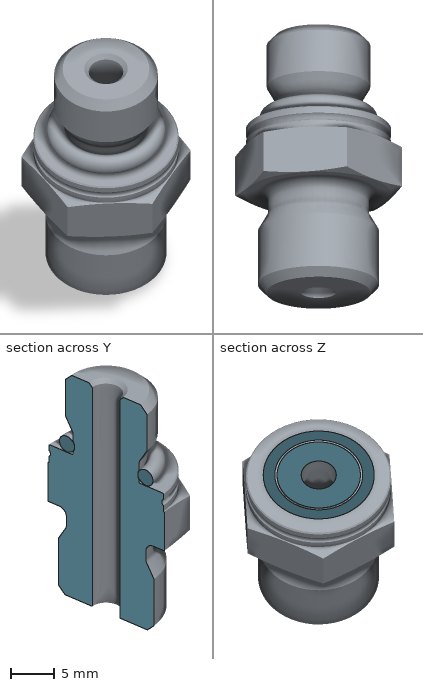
import cadquery as cq
import math

total_height = 31.0
hex_bottom = 12.0
hex_top = 17.48
collar_top = 20.03

hex_across_flats = 17.0
hex_corner_diameter = hex_across_flats / math.cos(math.radians(30))
hex_bevel_start_radius = 8.4
hex_bevel_angle = 15.0
bevel_clearance = 0.3

end_chamfer = 1.0
runout_angle = 30.0

lower_radius = 14.0 / 2
lower_neck_radius = 11.7 / 2
lower_thread_length = 7.47
lower_runout_blend = 1.0
shoulder_fillet = 1.0

upper_radius = 12.0 / 2
upper_neck_radius = 9.7 / 2
upper_thread_length = 6.0
upper_runout_blend = 0.45

collar_radius = 16.8 / 2
collar_chamfer = 0.15
collar_groove_bottom = 18.32
collar_groove_top = 19.15
collar_groove_depth = 0.25

bore_diameter = 4.0
bore_mouth_diameter = 5.02
bore_mouth_angle = 45.0

ring_outer_radius = 6.85
ring_section_radius = 2.2 / 2
ring_center_radius = ring_outer_radius - ring_section_radius
ring_center_height = collar_top + ring_section_radius


def runout_length(thread_radius, neck_radius):
    """Axial length of the cone between a thread and its neck."""
    return (thread_radius - neck_radius) / math.tan(math.radians(runout_angle))


def blend_setback(blend_radius):
    """Distance from the neck-cone corner to each end of its blend arc."""
    return blend_radius * math.tan(math.radians(runout_angle / 2))


def make_stud(thread_radius, neck_radius, thread_length, blend_radius, neck_end):
    """Chamfered stud standing on its end face at Z = 0, with a cone blended into its neck."""
    corner = thread_length + runout_length(thread_radius, neck_radius)
    setback = blend_setback(blend_radius)
    slope = math.radians(runout_angle)
    blend_start = (neck_radius + setback * math.sin(slope), corner - setback * math.cos(slope))
    blend_end = (neck_radius, corner + setback)
    half_slope = slope / 2
    blend_center_radius = neck_radius + blend_radius
    blend_middle = (
        blend_center_radius - blend_radius * math.cos(half_slope),
        corner + setback - blend_radius * math.sin(half_slope),
    )
    return (
        cq.Workplane("XZ")
        .lineTo(thread_radius - end_chamfer, 0)
        .lineTo(thread_radius, end_chamfer)
        .lineTo(thread_radius, thread_length)
        .lineTo(*blend_start)
        .threePointArc(blend_middle, blend_end)
        .lineTo(neck_radius, neck_end)
        .lineTo(0, neck_end)
        .close()
        .revolve(360, (0, 0, 0), (0, 1, 0))
    )


def make_lower_stud():
    return make_stud(lower_radius, lower_neck_radius, lower_thread_length, lower_runout_blend, hex_bottom)


def make_upper_stud():
    stud = make_stud(
        upper_radius, upper_neck_radius, upper_thread_length, upper_runout_blend, total_height - collar_top
    )
    return stud.rotate((0, 0, 0), (1, 0, 0), 180).translate((0, 0, total_height))


def make_shoulder_fillet():
    """Concave round between the lower neck and the underside of the hexagon."""
    fillet_bottom = hex_bottom - shoulder_fillet
    center_radius = lower_neck_radius + shoulder_fillet
    arc_offset = shoulder_fillet * math.sqrt(0.5)
    return (
        cq.Workplane("XZ")
        .moveTo(0, fillet_bottom)
        .lineTo(lower_neck_radius, fillet_bottom)
        .threePointArc(
            (center_radius - arc_offset, fillet_bottom + arc_offset),
            (center_radius, hex_bottom),
        )
        .lineTo(0, hex_bottom)
        .close()
        .revolve(360, (0, 0, 0), (0, 1, 0))
    )


def make_hexagon():
    """Hexagon with corners on the Y axis, its corners bevelled above and below."""
    prism = (
        cq.Workplane("XY", origin=(0, 0, hex_bottom))
        .transformed(rotate=(0, 0, 90))
        .polygon(6, hex_corner_diameter)
        .extrude(hex_top - hex_bottom)
    )
    outer_radius = hex_corner_diameter / 2 + bevel_clearance
    drop = (outer_radius - hex_bevel_start_radius) * math.tan(math.radians(hex_bevel_angle))
    bevel_envelope = (
        cq.Workplane("XZ")
        .moveTo(0, hex_bottom)
        .lineTo(hex_bevel_start_radius, hex_bottom)
        .lineTo(outer_radius, hex_bottom + drop)
        .lineTo(outer_radius, hex_top - drop)
        .lineTo(hex_bevel_start_radius, hex_top)
        .lineTo(0, hex_top)
        .close()
        .revolve(360, (0, 0, 0), (0, 1, 0))
    )
    return prism.intersect(bevel_envelope)


def make_collar():
    """Collar with a chamfered rim and a shallow round groove."""
    groove_middle = (collar_groove_bottom + collar_groove_top) / 2
    return (
        cq.Workplane("XZ")
        .moveTo(0, hex_top)
        .lineTo(collar_radius, hex_top)
        .lineTo(collar_radius, collar_groove_bottom)
        .threePointArc(
            (collar_radius - collar_groove_depth, groove_middle),
            (collar_radius, collar_groove_top),
        )
        .lineTo(collar_radius, collar_top - collar_chamfer)
        .lineTo(collar_radius - collar_chamfer, collar_top)
        .lineTo(0, collar_top)
        .close()
        .revolve(360, (0, 0, 0), (0, 1, 0))
    )


def make_bore():
    """Through bore with a countersunk mouth at the upper end."""
    bore_radius = bore_diameter / 2
    mouth_radius = bore_mouth_diameter / 2
    mouth_depth = (mouth_radius - bore_radius) / math.tan(math.radians(bore_mouth_angle))
    return (
        cq.Workplane("XZ")
        .lineTo(bore_radius, 0)
        .lineTo(bore_radius, total_height - mouth_depth)
        .lineTo(mouth_radius, total_height)
        .lineTo(0, total_height)
        .close()
        .revolve(360, (0, 0, 0), (0, 1, 0))
    )


def make_o_ring():
    """O-ring resting on the collar, around the upper neck."""
    return (
        cq.Workplane("XZ")
        .center(ring_center_radius, ring_center_height)
        .circle(ring_section_radius)
        .revolve(360, (-ring_center_radius, 0, 0), (-ring_center_radius, 1, 0))
    )


def make_fitting():
    """Fitting body, with a shallow seat in the upper neck where the O-ring sinks in."""
    return (
        make_lower_stud()
        .union(make_shoulder_fillet())
        .union(make_hexagon())
        .union(make_collar())
        .union(make_upper_stud())
        .cut(make_bore())
        .cut(make_o_ring())
    )


fitting = make_fitting()
o_ring = make_o_ring()

result = cq.Compound.makeCompound([fitting.solids().val(), o_ring.val()])